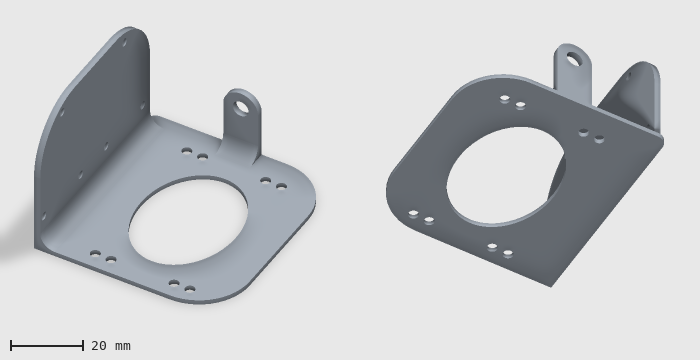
import cadquery as cq

base_length = 59.0
base_width = 64.0
base_thickness = 1.5
large_corner_radius = 16.0
small_corner_radius = 3.0

wall_width = 60.0
wall_height = 45.0
wall_thickness = 2.0
wall_corner_radius = 19.0

tab_width = 11.0
tab_thickness = 2.0
tab_hole_diameter = 5.0
tab_hole_height = 17.0
tab_center_x = base_length / 2

bend_radius = 4.5

opening_center_x = 31.5
opening_center_y = wall_width / 2
opening_length_x = 30.0
opening_length_y = 40.0
base_hole_diameter = 3.0
base_hole_offsets_x = (10.0, 15.0)
base_hole_offset_y = 25.0

wall_holes_center_y = 29.0
wall_hole_diameter = 2.5
upper_hole_height = 41.0
lower_hole_height = 11.0
upper_hole_offset = 17.0
lower_hole_offsets = (7.0, 27.0)


def make_base():
    plate = cq.Workplane("XY").box(base_length, base_width, base_thickness, centered=False)
    plate = plate.edges("|Z and >X").fillet(large_corner_radius)
    plate = plate.edges("|Z and <X and >Y").fillet(small_corner_radius)
    opening = (
        cq.Workplane("XY")
        .center(opening_center_x, opening_center_y)
        .ellipse(opening_length_x / 2, opening_length_y / 2)
        .extrude(base_thickness)
    )
    hole_points = [
        (side_x * offset_x, side_y * base_hole_offset_y)
        for offset_x in base_hole_offsets_x
        for side_x in (-1, 1)
        for side_y in (-1, 1)
    ]
    holes = (
        cq.Workplane("XY")
        .center(opening_center_x, opening_center_y)
        .pushPoints(hole_points)
        .circle(base_hole_diameter / 2)
        .extrude(base_thickness)
    )
    return plate.cut(opening).cut(holes)


def make_bend(plane, face, direction, length):
    """Concave fillet strip between the base top and an upright face.

    The plane's horizontal axis is square to the face, which sits at coordinate
    face; direction is +1 or -1 and points from the face into the open corner.
    """
    foot = face + direction * bend_radius
    top = base_thickness + bend_radius
    corner = cq.Workplane(plane).moveTo(face, base_thickness).lineTo(foot, base_thickness)
    corner = corner.lineTo(foot, top).lineTo(face, top).close().extrude(length)
    hollow = cq.Workplane(plane).center(foot, top).circle(bend_radius).extrude(length)
    return corner.cut(hollow)


def make_wall():
    wall = cq.Workplane("XY").box(wall_thickness, wall_width, wall_height, centered=False)
    wall = wall.edges("|X and >Z").fillet(wall_corner_radius)
    hole_points = [(side * upper_hole_offset, upper_hole_height) for side in (-1, 1)]
    hole_points += [(side * offset, lower_hole_height) for offset in lower_hole_offsets for side in (-1, 1)]
    holes = (
        cq.Workplane("YZ")
        .center(wall_holes_center_y, 0)
        .pushPoints(hole_points)
        .circle(wall_hole_diameter / 2)
        .extrude(wall_thickness)
    )
    return wall.cut(holes)


def make_tab():
    back = cq.Workplane("XZ", origin=(tab_center_x, base_width, 0))
    upright = back.center(0, tab_hole_height / 2).rect(tab_width, tab_hole_height).extrude(tab_thickness)
    head_center = back.center(0, tab_hole_height)
    head = head_center.circle(tab_width / 2).extrude(tab_thickness)
    hole = head_center.circle(tab_hole_diameter / 2).extrude(tab_thickness)
    return upright.union(head).cut(hole)


wall_bend = make_bend("XZ", wall_thickness, 1, -wall_width)
tab_bend = make_bend("YZ", base_width - tab_thickness, -1, tab_width)
tab_bend = tab_bend.translate((tab_center_x - tab_width / 2, 0, 0))

result = make_base().union(make_wall()).union(wall_bend).union(make_tab()).union(tab_bend)